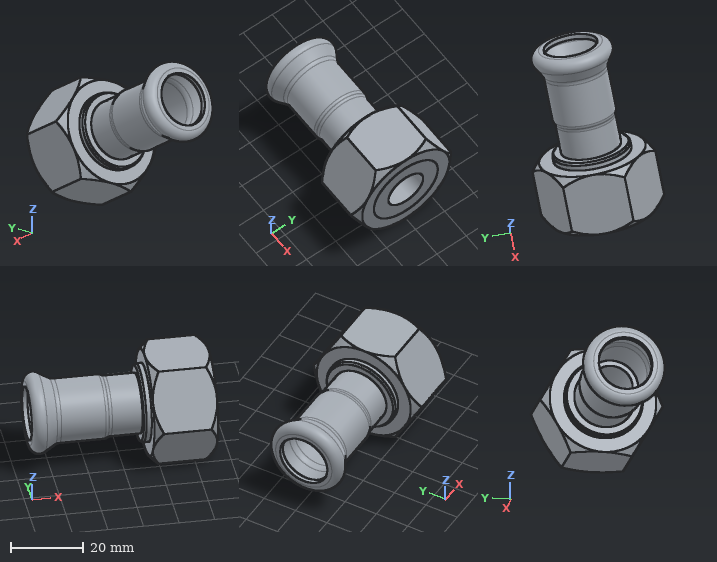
import cadquery as cq
import math

total_length = 51.0

nut_start = 33.05
nut_across_flats = 30.0
nut_across_corners = nut_across_flats / math.cos(math.radians(30))
nut_length = total_length - nut_start

tube_radius = 18.0 / 2
neck_radius = 17.0 / 2
collar_radius = 22.0 / 2
collar_start = 30.9
collar_chamfer_length = 0.65
collar_chamfer_depth = 0.4

bead_radius = 11.5
bead_round = 2.5
bead_blend = 2.5
cone_angle = math.radians(30)
bead_center_r = bead_radius - bead_round

step_start = 20.6
step_round = 1.8
step_angle = math.radians(30)

wall = 1.5
socket_radius = tube_radius - wall
socket_depth = step_start
bore_radius = 5.95

blend_center_r = tube_radius + bead_blend
blend_center_x = bead_round + (
    bead_round + bead_blend - math.cos(cone_angle) * (blend_center_r - bead_center_r)
) / math.sin(cone_angle)


def arc_point(center_x, center_r, radius, angle):
    """Point on a circle, at an angle from the outward radial direction toward +X."""
    return (center_x + radius * math.sin(angle), center_r + radius * math.cos(angle))


def bead_profile(sketch, offset):
    """Bead, cone and blend, set inward by offset, from the bead's flat to the tube."""
    bead = (bead_round, bead_center_r, bead_round - offset)
    blend = (blend_center_x, blend_center_r, -(bead_blend + offset))
    return (
        sketch.lineTo(*arc_point(*bead, -math.pi / 2))
        .threePointArc(arc_point(*bead, (cone_angle - math.pi / 2) / 2), arc_point(*bead, cone_angle))
        .lineTo(*arc_point(*blend, cone_angle))
        .threePointArc(arc_point(*blend, cone_angle / 2), arc_point(*blend, 0))
    )


def revolve_about_x(sketch):
    return sketch.close().revolve(360, (0, 0, 0), (1, 0, 0))


def make_tube():
    arc_drop = step_round * (1 - math.cos(step_angle))
    slope_length = (tube_radius - neck_radius - 2 * arc_drop) / math.tan(step_angle)
    step_end = step_start + 2 * step_round * math.sin(step_angle) + slope_length
    crest = (step_start, tube_radius - step_round, step_round)
    valley = (step_end, neck_radius + step_round, -step_round)

    outside = bead_profile(cq.Workplane("XY").moveTo(0, 0), 0)
    outside = (
        outside.lineTo(step_start, tube_radius)
        .threePointArc(arc_point(*crest, step_angle / 2), arc_point(*crest, step_angle))
        .lineTo(*arc_point(*valley, step_angle))
        .threePointArc(arc_point(*valley, step_angle / 2), (step_end, neck_radius))
        .lineTo(collar_start, neck_radius)
        .lineTo(collar_start, collar_radius - collar_chamfer_depth)
        .lineTo(collar_start + collar_chamfer_length, collar_radius)
        .lineTo(total_length, collar_radius)
        .lineTo(total_length, 0)
    )

    inside = cq.Workplane("XY").moveTo(0, 0).lineTo(0, socket_radius).lineTo(wall, socket_radius)
    inside = (
        bead_profile(inside, wall)
        .lineTo(socket_depth, socket_radius)
        .lineTo(socket_depth, bore_radius)
        .lineTo(total_length, bore_radius)
        .lineTo(total_length, 0)
    )
    return revolve_about_x(outside).cut(revolve_about_x(inside))


def make_nut():
    hexagon = (
        cq.Workplane("YZ", origin=(nut_start, 0, 0))
        .polygon(6, nut_across_corners)
        .extrude(nut_length)
    )
    corner_chamfer = (nut_across_corners - nut_across_flats) / 2
    corner_trim = (
        cq.Workplane("YZ", origin=(nut_start, 0, 0))
        .circle(nut_across_corners / 2)
        .extrude(nut_length)
        .faces("<X or >X")
        .chamfer(corner_chamfer)
    )
    collar_hole = (
        cq.Workplane("YZ", origin=(nut_start, 0, 0)).circle(collar_radius).extrude(nut_length)
    )
    return hexagon.intersect(corner_trim).cut(collar_hole)


tube = make_tube()
nut = make_nut()

result = cq.Compound.makeCompound([tube.val(), nut.val()])